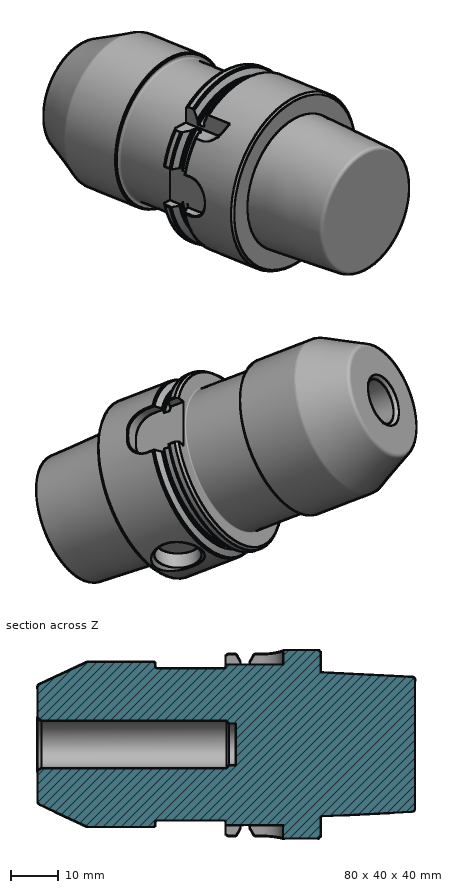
import cadquery as cq
import math

overall_length = 80.0

nose_radius = 17.5
nose_end = 25.0
nose_cone_length = 10.6
nose_cone_angle = 25.0
nose_edge_fillet = 1.0
nose_shoulder_fillet = 0.8
nose_back_chamfer = 0.25
neck_radius = 16.15
neck_nose_fillet = 0.45
neck_flange_fillet = 0.25

flange_radius = 20.0
flange_start = 39.8
flange_end = 60.0
front_chamfer_length = 0.7
back_chamfer_length = 0.5
flange_chamfer_height = 0.5
groove_center = 44.0
groove_mouth_width = 3.9
groove_mouth_bevel_width = 0.35
groove_mouth_bevel_height = 0.2
groove_angle = 30.0
groove_wall_radius = 18.3
groove_floor_radius = 17.5
groove_left_relief = 0.4
groove_right_relief = 0.2
groove_relief_height = 0.2

taper_gauge_radius = 15.08
taper_gauge_position = 64.0
taper_slope = 1 / 20
taper_end_fillet = 0.8

bore_mouth_radius = 5.7
bore_entry_radius = 5.25
bore_entry_depth = 0.9
bore_radius = 5.0
bore_depth = 40.0
bore_tip_radius = 4.4
bore_tip_depth = 2.0

slot_end = 52.0
slot_edge_chamfer = 0.2
front_slot_width = 9.0
front_slot_floor = 17.1
rear_slot_width = 11.0
rear_slot_floor = 16.9
rear_slot_corner_radius = 4.4
notch_offset = 12.0
notch_end = 52.1
notch_fillet = 4.3
pocket_diameter = 10.0
pocket_center = 53.0
pocket_depth = 4.5
pocket_chamfer = 0.9

cut_overrun = 1.0
tolerance = 0.01


def revolve_profile(points):
    return cq.Workplane("XY").polyline(points).close().revolve(360, (0, 0, 0), (1, 0, 0))


def ring_at(x):
    """Selector for the round edge lying at position x along the axis."""
    reach = flange_radius + cut_overrun
    return cq.selectors.BoxSelector((x - tolerance, -reach, -reach), (x + tolerance, reach, reach))


def make_nose():
    face_radius = nose_radius - nose_cone_length * math.tan(math.radians(nose_cone_angle))
    points = [
        (0, 0),
        (0, face_radius),
        (nose_cone_length, nose_radius),
        (nose_end, nose_radius),
        (nose_end, 0),
    ]
    nose = revolve_profile(points)
    nose = nose.faces("<X").edges().fillet(nose_edge_fillet)
    nose = nose.edges(ring_at(nose_cone_length)).fillet(nose_shoulder_fillet)
    return nose.faces(">X").edges().chamfer(nose_back_chamfer)


def make_neck():
    points = [
        (nose_end, 0),
        (nose_end, neck_radius + neck_nose_fillet),
        (nose_end + neck_nose_fillet, neck_radius),
        (flange_start - neck_flange_fillet, neck_radius),
        (flange_start, neck_radius + neck_flange_fillet),
        (flange_start, 0),
    ]
    profile = cq.Workplane("XY").moveTo(*points[0]).lineTo(*points[1])
    profile = profile.radiusArc(points[2], -neck_nose_fillet).lineTo(*points[3])
    profile = profile.radiusArc(points[4], -neck_flange_fillet).lineTo(*points[5]).close()
    return profile.revolve(360, (0, 0, 0), (1, 0, 0))


def make_groove():
    """V groove with bevelled mouth edges, straight inner walls and small floor reliefs."""
    wall_slope = math.tan(math.radians(groove_angle))
    mouth_half = groove_mouth_width / 2
    wall_half = mouth_half - (flange_radius - groove_wall_radius) * wall_slope
    bevel_radius = flange_radius - groove_mouth_bevel_height
    bevel_half = mouth_half - groove_mouth_bevel_height * wall_slope
    bevel_slope = groove_mouth_bevel_width / groove_mouth_bevel_height
    outer_radius = flange_radius + cut_overrun
    outer_half = bevel_half + (outer_radius - bevel_radius) * bevel_slope
    relief_radius = groove_floor_radius + groove_relief_height
    left_half = [
        (groove_center - outer_half, outer_radius),
        (groove_center - bevel_half, bevel_radius),
        (groove_center - wall_half, groove_wall_radius),
        (groove_center - wall_half, relief_radius),
        (groove_center - wall_half + groove_left_relief, groove_floor_radius),
    ]
    right_half = [
        (groove_center + wall_half - groove_right_relief, groove_floor_radius),
        (groove_center + wall_half, relief_radius),
        (groove_center + wall_half, groove_wall_radius),
        (groove_center + bevel_half, bevel_radius),
        (groove_center + outer_half, outer_radius),
    ]
    return revolve_profile(left_half + right_half)


def make_rim_cut(face_x, chamfer_length, direction):
    """Ring that chamfers a flange rim; direction points along X from the rim into the flange."""
    outer_radius = flange_radius + cut_overrun
    shoulder_radius = flange_radius - flange_chamfer_height
    reach = (outer_radius - shoulder_radius) * chamfer_length / flange_chamfer_height
    points = [
        (face_x, shoulder_radius),
        (face_x + direction * reach, outer_radius),
        (face_x, outer_radius),
    ]
    return revolve_profile(points)


def make_slot(width, floor, side, corner_radius=None):
    """Slot open toward the nose; the end is a full round unless a corner radius is given.

    side is +1 for the slot at +Y and -1 for the slot at -Y.
    """
    depth = flange_radius + cut_overrun - floor
    center_y = side * (floor + depth / 2)
    if corner_radius is None:
        straight = slot_end - width / 2 - flange_start
        bar = cq.Workplane("XY").box(straight, depth, width)
        bar = bar.translate((flange_start + straight / 2, center_y, 0))
        round_end = cq.Workplane("XZ", origin=(flange_start + straight, center_y + depth / 2, 0))
        return bar.union(round_end.circle(width / 2).extrude(depth))
    length = slot_end - flange_start
    slot = cq.Workplane("XY").box(length, depth, width)
    slot = slot.faces(">X").edges("|Y").fillet(corner_radius)
    return slot.translate((flange_start + length / 2, center_y, 0))


def make_slotted_blank():
    """Plain cylinder with both drive slots, their outer edges lightly chamfered."""
    blank = cq.Workplane("YZ", origin=(flange_start, 0, 0)).circle(flange_radius)
    blank = blank.extrude(flange_end - flange_start)
    blank = blank.cut(make_slot(front_slot_width, front_slot_floor, -1))
    blank = blank.cut(make_slot(rear_slot_width, rear_slot_floor, 1, rear_slot_corner_radius))
    rim_edges = blank.edges().filter(is_slot_rim)
    return blank.newObject(rim_edges.vals()).chamfer(slot_edge_chamfer)


def is_slot_rim(edge):
    """True for the edges where a slot wall leaves the cylinder of the flange."""
    box = edge.BoundingBox()
    runs_along_axis = box.xlen > tolerance
    starts_before_end = box.xmin < slot_end - tolerance
    middle = edge.positionAt(0.5)
    on_cylinder = abs(math.hypot(middle.y, middle.z) - flange_radius) < tolerance
    return runs_along_axis and starts_before_end and on_cylinder


def taper_radius(x):
    return taper_gauge_radius - taper_slope * (x - taper_gauge_position)


def make_taper():
    points = [
        (flange_end, 0),
        (flange_end, taper_radius(flange_end)),
        (overall_length, taper_radius(overall_length)),
        (overall_length, 0),
    ]
    return revolve_profile(points).faces(">X").edges().fillet(taper_end_fillet)


def make_bore():
    mouth_chamfer = bore_mouth_radius - bore_entry_radius
    points = [
        (0, 0),
        (0, bore_mouth_radius),
        (mouth_chamfer, bore_entry_radius),
        (bore_entry_depth, bore_radius),
        (bore_depth, bore_radius),
        (bore_depth + bore_radius - bore_tip_radius, bore_tip_radius),
        (bore_depth + bore_tip_depth, bore_tip_radius),
        (bore_depth + bore_tip_depth, 0),
    ]
    return revolve_profile(points)


def make_notch():
    """Square corner cut at -Y +Z whose end curves up from the notch floor."""
    size = flange_radius - notch_offset
    length = notch_end - flange_start
    notch = cq.Workplane("XY").box(length, size, size, centered=False)
    notch = notch.faces(">X").edges("<Z").fillet(notch_fillet)
    return notch.translate((flange_start, -flange_radius, notch_offset))


def make_pocket():
    """Blind round pocket in the underside of the flange with a 45 degree countersink."""
    radius = pocket_diameter / 2
    surface = cq.Workplane("XY", origin=(pocket_center, 0, -flange_radius))
    hole = surface.circle(radius).extrude(pocket_depth)
    mouth_radius = radius + pocket_chamfer
    countersink = cq.Solid.makeCone(
        mouth_radius,
        radius,
        pocket_chamfer,
        cq.Vector(pocket_center, 0, -flange_radius),
        cq.Vector(0, 0, 1),
    )
    return hole.union(cq.Workplane(countersink))


flange = make_slotted_blank().cut(make_groove())
flange = flange.cut(make_rim_cut(flange_start, front_chamfer_length, 1))
flange = flange.cut(make_rim_cut(flange_end, back_chamfer_length, -1))
flange = flange.cut(make_notch()).cut(make_pocket())
result = make_nose().union(make_neck()).union(flange).union(make_taper()).cut(make_bore())